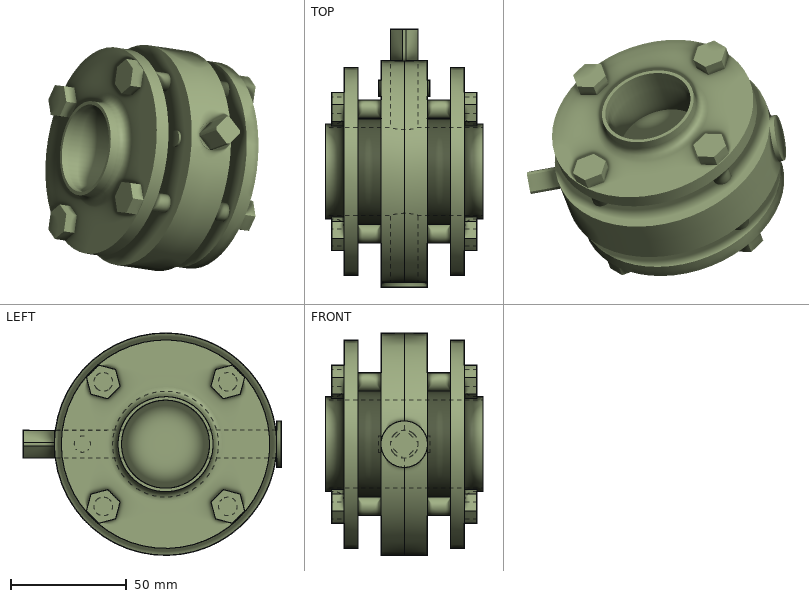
import cadquery as cq
import math


overall_length = 111.5

ring_half_width = 10.0
flange_inner_face = 20.0
flange_thickness = 6.0
flange_outer_face = flange_inner_face + flange_thickness
pipe_end = 34.0

ring_diameter = 96.0
neck_diameter = 45.7
flange_diameter = 90.0
pipe_outer_diameter = 41.0
bore_diameter = 38.0
pipe_root_fillet = 4.0

bolt_count = 4
first_bolt_angle = 45
bolt_circle_diameter = 76.0
bolt_shank_diameter = 8.0
bolt_head_flats = 13.0
hexagon_sides = 6
bolt_head_height = 5.4

boss_diameter = 7.0
boss_height = 1.0
boss_center_y = 35.9

disc_thickness = 2 * ring_half_width
stem_diameter = 12.0
stem_square_side = 9.5
cap_diameter = 2 * ring_half_width
cap_thickness = 2.0
ring_radius = ring_diameter / 2
stem_top = overall_length - ring_radius - cap_thickness


def x_cylinder(diameter, x_start, x_end):
    return cq.Workplane("YZ", origin=(x_start, 0, 0)).circle(diameter / 2).extrude(x_end - x_start)


def y_cylinder(diameter, y_start, y_end):
    return cq.Workplane("XZ", origin=(0, y_start, 0)).circle(diameter / 2).extrude(y_start - y_end)


def make_pipe_end():
    """Pipe stub that flares into the flange face through a concave fillet."""
    pipe_radius = pipe_outer_diameter / 2
    arc_center_x = flange_outer_face + pipe_root_fillet
    arc_center_r = pipe_radius + pipe_root_fillet
    arc_offset = pipe_root_fillet * math.sqrt(0.5)
    profile = (
        cq.Workplane("XY")
        .moveTo(flange_inner_face, 0)
        .lineTo(flange_inner_face, arc_center_r)
        .lineTo(flange_outer_face, arc_center_r)
        .threePointArc(
            (arc_center_x - arc_offset, arc_center_r - arc_offset),
            (arc_center_x, pipe_radius),
        )
        .lineTo(pipe_end, pipe_radius)
        .lineTo(pipe_end, 0)
        .close()
    )
    return profile.revolve(360, (0, 0, 0), (1, 0, 0))


def make_bolt(angle):
    """Shank from ring to flange and hexagon head on the flange, one flat facing outward."""
    half_step = 180 / hexagon_sides
    head_corner_diameter = bolt_head_flats / math.cos(math.radians(half_step))
    shank = x_cylinder(bolt_shank_diameter, ring_half_width, flange_outer_face)
    head = (
        cq.Workplane("YZ", origin=(flange_outer_face, 0, 0))
        .polygon(hexagon_sides, head_corner_diameter)
        .extrude(bolt_head_height)
        .rotate((0, 0, 0), (1, 0, 0), half_step)
    )
    bolt = shank.union(head).translate((0, bolt_circle_diameter / 2, 0))
    return bolt.rotate((0, 0, 0), (1, 0, 0), angle)


def make_housing_half():
    """Half on the +X side: half ring, neck, flange, pipe end and bolts in one solid."""
    half = x_cylinder(ring_diameter, 0, ring_half_width)
    half = half.union(x_cylinder(neck_diameter, ring_half_width, flange_inner_face))
    half = half.union(x_cylinder(flange_diameter, flange_inner_face, flange_outer_face))
    half = half.union(make_pipe_end())

    boss = x_cylinder(boss_diameter, ring_half_width, ring_half_width + boss_height)
    half = half.union(boss.translate((0, boss_center_y, 0)))

    for i in range(bolt_count):
        half = half.union(make_bolt(first_bolt_angle + i * 360 / bolt_count))

    half = half.cut(x_cylinder(bore_diameter, 0, pipe_end))
    return half.cut(y_cylinder(stem_diameter, -ring_radius, ring_radius))


def make_disc_and_stem():
    """Closing disc with its stem: a cap at the -Y end and a square drive at the +Y end."""
    disc = x_cylinder(bore_diameter, -disc_thickness / 2, disc_thickness / 2)
    stem = y_cylinder(stem_diameter, -ring_radius, ring_radius)
    cap = y_cylinder(cap_diameter, -ring_radius - cap_thickness, -ring_radius)

    square = (
        cq.Workplane("XZ", origin=(0, ring_radius, 0))
        .rect(stem_square_side, stem_square_side)
        .extrude(ring_radius - stem_top)
        .rotate((0, 0, 0), (0, 1, 0), 45)
    )
    drive = square.intersect(y_cylinder(stem_diameter, ring_radius, stem_top))

    return disc.union(stem).union(cap).union(drive)


right_half = make_housing_half()
left_half = right_half.mirror("YZ")
disc_and_stem = make_disc_and_stem()

result = cq.Compound.makeCompound([right_half.val(), left_half.val(), disc_and_stem.val()])